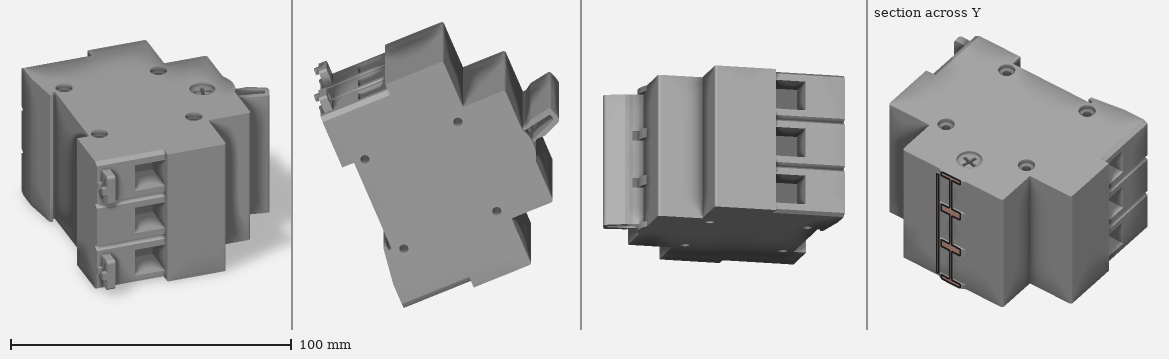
import cadquery as cq
import math


overall_length = 85.2
pole_count = 3
height = 51.7
pole_pitch = height / pole_count
pole_centers = [(i + 0.5) * pole_pitch for i in range(pole_count)]
pole_joints = [i * pole_pitch for i in range(pole_count + 1)]

body_width = 81.5
waist_width = 76.8
top_width = 44.7
waist_top = 26.0
shoulder_top = 48.3
cover_top = 64.5
cover_radius = 1.0
shoulder_radius = 0.85

rail_depth = 4.5
rail_right = 18.3
rail_left = -16.45
lip_start = -28.5
lip_bottom = (-14.7, 2.0)
lip_tip = (-14.5, 3.15)
lip_root_y = 3.4

groove_depth = 1.9
groove_half_width = 1.0
opening_width = 10.5
opening_bottom = 14.4
opening_depth = 12.8

hole_spacing = 35.9
hole_low_y = 8.6
hole_diameter = 3.2
counterbore_diameter = 6.1
counterbore_depth = 1.7

hub_y = 54.45
drum_radius = 11.8
hub_recess_diameter = 9.2
hub_recess_depth = 1.0
cross_length = 6.05
cross_width = 1.4
cross_depth = 3.0
cross_tilt = 14.0

lever_end_gap = 2.05
lever_tip_radius = 23.9
lever_tip_left_angle = 9.1
lever_tip_right_angle = 23.7
lever_left_corner_radius = 1.6
lever_right_corner_radius = 1.1
knee_x = 0.8
knee_top_y = 70.8
knee_bottom_y = 68.2
lever_left_root = (-1.0, 63.9)
lever_right_root = (6.2, 63.9)
lever_right_foot = (6.5, 66.0)
lever_right_knee = (8.2, 68.5)
window_outline = [(0.0, 63.9), (5.1, 76.2), (7.3, 75.6), (5.1, 63.9)]
foot_gap_width = 3.4
foot_gap_length = 4.3

latch_width = 11.7
latch_top = 4.8
latch_bottom = 1.7
latch_corner_radius = 1.1
latch_end = overall_length - body_width / 2
latch_root = waist_width / 2
latch_inset = 1.7
latch_window_start = latch_root + 1.45
latch_window_end = latch_end - 2.05
latch_window_width = 7.7
rib_width = 2.55


def box(x_range, y_range, z_center, z_size):
    """Block spanning two X and two Y limits, centred at a Z level."""
    x_size = x_range[1] - x_range[0]
    y_size = y_range[1] - y_range[0]
    center = (sum(x_range) / 2, sum(y_range) / 2, z_center)
    return cq.Workplane("XY").box(x_size, y_size, z_size).translate(center)


def around_hub(radius, angle):
    """Point at a radius from the hub axis, angle in degrees clockwise from +Y."""
    turn = math.radians(angle)
    return (radius * math.sin(turn), hub_y + radius * math.cos(turn))


def on_vertical_edges(points, z):
    """Selector for the vertical edges that pass through the given XY points."""
    reach = 0.1
    selector = None
    for x, y in points:
        low = (x - reach, y - reach, z - reach)
        high = (x + reach, y + reach, z + reach)
        picked = cq.selectors.BoxSelector(low, high)
        selector = picked if selector is None else selector + picked
    return selector


def make_housing():
    top, body, waist = top_width / 2, body_width / 2, waist_width / 2
    outline = [
        (-waist, 0), (lip_start, 0), lip_bottom, lip_tip,
        (rail_left, lip_root_y), (rail_left, rail_depth), (rail_right, rail_depth), (rail_right, 0),
        (waist, 0), (waist, waist_top), (body, waist_top), (body, shoulder_top),
        (top, shoulder_top), (top, cover_top), (-top, cover_top), (-top, shoulder_top),
        (-body, shoulder_top), (-body, waist_top), (-waist, waist_top),
    ]
    housing = cq.Workplane("XY").polyline(outline).close().extrude(height)
    cover_corners = on_vertical_edges([(-top, cover_top), (top, cover_top)], height / 2)
    shoulder_corners = on_vertical_edges([(-body, shoulder_top), (body, shoulder_top)], height / 2)
    housing = housing.edges(cover_corners).fillet(cover_radius)
    return housing.edges(shoulder_corners).fillet(shoulder_radius)


def make_joint_groove(side, z):
    """V groove along the waist at one joint between poles; side is -1 or +1."""
    face = side * waist_width / 2
    bottom = face - side * groove_depth
    triangle = [(face, z - groove_half_width), (bottom, z), (face, z + groove_half_width)]
    return cq.Workplane("XZ").polyline(triangle).close().extrude(-waist_top)


def make_wire_opening(side, z):
    face = side * waist_width / 2
    x_range = sorted([face, face - side * opening_depth])
    return box(x_range, (opening_bottom, waist_top), z, opening_width)


def make_drum_wall(z_bottom, thickness):
    """Segment of the round wall that rises above the cover, concentric with the hub."""
    wall = cq.Workplane("XY", origin=(0, hub_y, z_bottom)).circle(drum_radius)
    return wall.extrude(thickness)


def make_hub_recess():
    recess_floor = height - hub_recess_depth
    recess = cq.Workplane("XY", origin=(0, hub_y, recess_floor)).circle(hub_recess_diameter / 2)
    recess = recess.extrude(hub_recess_depth)
    cross = cq.Workplane("XY").rect(cross_length, cross_width).extrude(-cross_depth)
    cross = cross.union(cq.Workplane("XY").rect(cross_width, cross_length).extrude(-cross_depth))
    cross = cross.rotate((0, 0, 0), (0, 0, 1), -cross_tilt)
    return recess.union(cross.translate((0, hub_y, recess_floor)))


def make_lever():
    tip_left = around_hub(lever_tip_radius, lever_tip_left_angle)
    tip_right = around_hub(lever_tip_radius, lever_tip_right_angle)
    tip_middle = around_hub(lever_tip_radius, (lever_tip_left_angle + lever_tip_right_angle) / 2)
    lever = (
        cq.Workplane("XY")
        .moveTo(*lever_left_root)
        .lineTo(knee_x, knee_bottom_y)
        .lineTo(knee_x, knee_top_y)
        .lineTo(*tip_left)
        .threePointArc(tip_middle, tip_right)
        .lineTo(*lever_right_knee)
        .lineTo(*lever_right_foot)
        .lineTo(*lever_right_root)
        .close()
        .extrude(height - 2 * lever_end_gap)
        .translate((0, 0, lever_end_gap))
    )
    lever = lever.edges(on_vertical_edges([tip_left], height / 2)).fillet(lever_left_corner_radius)
    lever = lever.edges(on_vertical_edges([tip_right], height / 2)).fillet(lever_right_corner_radius)
    lever = lever.cut(cq.Workplane("XY").polyline(window_outline).close().extrude(height))
    gap_x = (lever_left_root[0], lever_left_root[0] + foot_gap_length)
    for z in pole_joints[1:-1]:
        lever = lever.cut(box(gap_x, (lever_left_root[1], knee_bottom_y), z, foot_gap_width))
    return lever


def make_latch(z):
    """Looped rail latch with a rib across its two bars."""
    inner_end = latch_root - latch_inset
    latch = box((inner_end, latch_end), (latch_bottom, latch_top), z, latch_width)
    latch = latch.edges("|Y and >X").fillet(latch_corner_radius)
    latch = latch.union(box((inner_end, latch_end), (0, latch_top), z, rib_width))
    return latch.cut(box((latch_window_start, latch_window_end), (0, latch_top), z, latch_window_width))


result = make_housing()

for side in (-1, 1):
    for joint in pole_joints:
        result = result.cut(make_joint_groove(side, joint))
    for center in pole_centers:
        result = result.cut(make_wire_opening(side, center))

result = result.union(make_lever())
for z_bottom in (0, height - lever_end_gap):
    result = result.union(make_drum_wall(z_bottom, lever_end_gap))
for joint in pole_joints[1:-1]:
    result = result.union(make_drum_wall(joint - foot_gap_width / 2, foot_gap_width))
result = result.cut(make_hub_recess())

for center in (pole_centers[0], pole_centers[-1]):
    result = result.union(make_latch(center))

result = (
    result.faces(">Z")
    .workplane(origin=(0, hole_low_y + hole_spacing / 2, height))
    .rarray(hole_spacing, hole_spacing, 2, 2)
    .cboreHole(hole_diameter, counterbore_diameter, counterbore_depth)
)